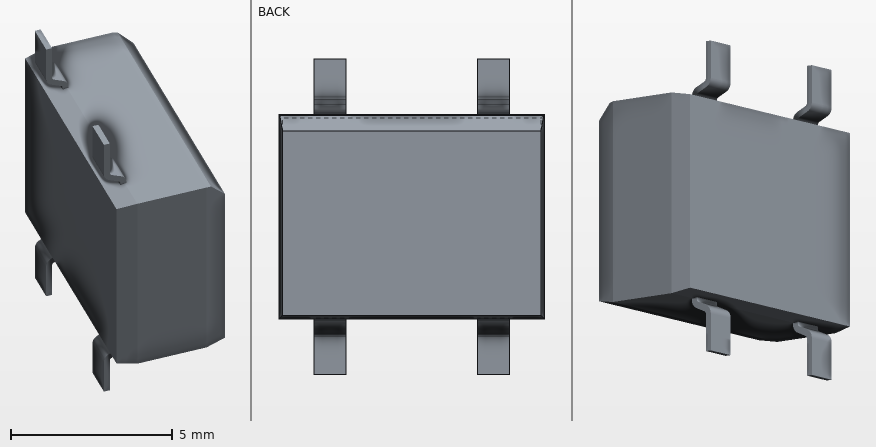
import cadquery as cq
import math

body_width = 8.25
body_height = 6.35
overall_height = 9.8
overall_depth = 3.65
standoff = 0.05

taper_depth = 0.65
draft_angle = 10.0
chamfer_depth = 0.49

lead_width = 1.0
lead_pitch = 5.08
lead_thickness = 0.2
lead_offset = 0.55
stub_length = 0.05
ramp_angle = 24.0
inner_bend_radius = 0.1
outer_bend_radius = inner_bend_radius + lead_thickness

front_parting_y = standoff + taper_depth
rear_parting_y = overall_depth - taper_depth
taper_inset = taper_depth * math.tan(math.radians(draft_angle))


def tapered_block(start_y, depth, taper=0.0):
    """Full-section block growing from start_y along Y; a negative depth grows toward -Y."""
    normal = (0, math.copysign(1, depth), 0)
    plane = cq.Plane(origin=(0, start_y, 0), xDir=(1, 0, 0), normal=normal)
    section = cq.Workplane(plane).rect(body_width, body_height)
    return section.extrude(abs(depth), taper=taper)


def bevel_cutter():
    """Triangular prism that removes the top rear edge of the body."""
    top_z = body_height / 2
    taper_slope = taper_inset / taper_depth
    start_y = overall_depth - chamfer_depth
    start_z = top_z - (start_y - rear_parting_y) * taper_slope
    overshoot = taper_inset
    profile = [
        (start_y - overshoot, start_z + overshoot),
        (overall_depth + overshoot, start_z - chamfer_depth - overshoot),
        (overall_depth + overshoot, start_z + overshoot),
    ]
    return cq.Workplane("YZ").polyline(profile).close().extrude(body_width / 2, both=True)


def make_body():
    band = tapered_block(front_parting_y, rear_parting_y - front_parting_y)
    front_end = tapered_block(front_parting_y, -taper_depth, draft_angle)
    rear_end = tapered_block(rear_parting_y, taper_depth, draft_angle)
    return band.union(front_end).union(rear_end).cut(bevel_cutter())


def make_lead(center_x, body):
    """Upper lead, bent from a constant-thickness strip and trimmed to the body surface."""
    half_turn = math.radians(90 - ramp_angle) / 2
    miter = lead_thickness / 2 * math.tan(half_turn)
    middle_radius = inner_bend_radius + lead_thickness / 2
    tangent_length = middle_radius * math.tan(half_turn)

    stub_corner_z = body_height / 2 + stub_length + tangent_length
    foot_corner_z = stub_corner_z + lead_offset * math.tan(math.radians(ramp_angle))
    root_z = body_height / 2 - taper_inset
    tip_z = overall_height / 2

    stub_inner = (lead_offset, stub_corner_z - miter)
    stub_outer = (lead_offset + lead_thickness, stub_corner_z + miter)
    foot_inner = (lead_thickness, foot_corner_z + miter)
    foot_outer = (0, foot_corner_z - miter)
    profile = [
        (lead_offset, root_z),
        stub_inner,
        foot_outer,
        (0, tip_z),
        (lead_thickness, tip_z),
        foot_inner,
        stub_outer,
        (lead_offset + lead_thickness, root_z),
    ]
    strip = cq.Workplane("YZ", origin=(center_x, 0, 0)).polyline(profile).close()
    lead = strip.extrude(lead_width / 2, both=True)

    bends = [
        (stub_inner, inner_bend_radius),
        (foot_inner, inner_bend_radius),
        (stub_outer, outer_bend_radius),
        (foot_outer, outer_bend_radius),
    ]
    for (corner_y, corner_z), radius in bends:
        corner_edge = cq.selectors.NearestToPointSelector((center_x, corner_y, corner_z))
        lead = lead.edges("|X").edges(corner_edge).fillet(radius)
    return lead.cut(body)


body = make_body()

leads = []
for center_x in (-lead_pitch / 2, lead_pitch / 2):
    upper_lead = make_lead(center_x, body)
    lower_lead = upper_lead.mirror("XY")
    leads += [upper_lead.val(), lower_lead.val()]

result = cq.Compound.makeCompound([body.val(), *leads])